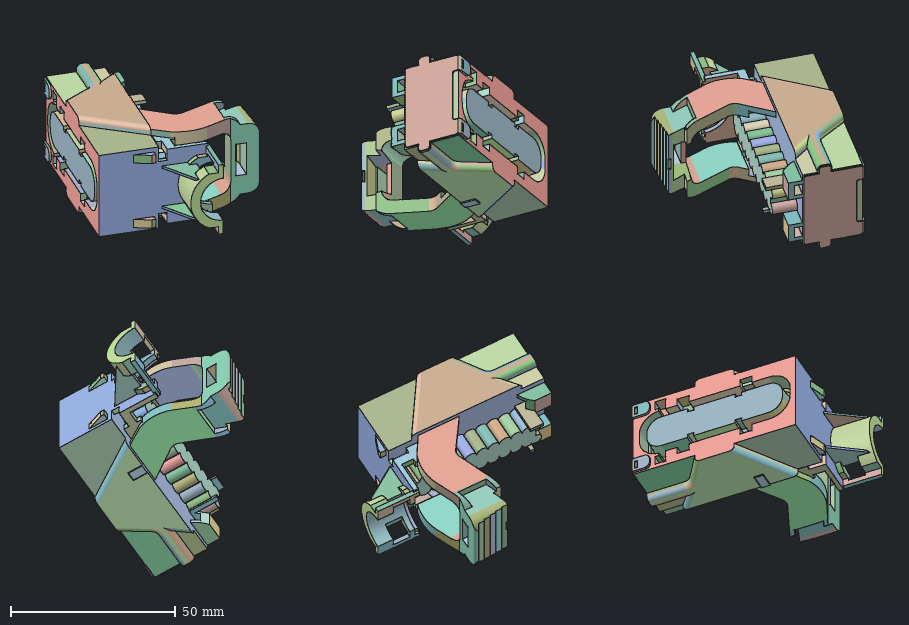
import cadquery as cq
import math


COVER_T = 0.4
HOUSING_X0, HOUSING_X1 = COVER_T, 55.0
HOUSING_Y0, HOUSING_Y1 = 0.75, 19.8
HOUSING_HALF_Z = 14.0
OVERLAP = 1.0

PANEL_HALF_Z = 16.57
PANEL_EDGE_R = 1.5
PANEL_BEND_R = 3.0
RIB_Y0, RIB_Y1 = 10.45, 15.0
PANEL_SLOPE, PANEL_BACK_SLOPE = 0.66, 0.79
PANEL_FRONT_X0, PANEL_FRONT_X1 = 21.15, 34.4
PANEL_BACK_X0 = 8.3
TRIM_MARGIN = 4.0
PAD_X0, PAD_X1, PAD_Y0, PAD_BOTTOM_Z = 34.6, 37.6, 14.7, -17.01

SOCKET_MID_X = 27.85
SOCKET_LENGTH, SOCKET_HEIGHT, SOCKET_R = 50.6, 17.0, 7.0
ISLAND_LENGTH, ISLAND_HEIGHT, ISLAND_R = 45.5, 11.6, 4.8
ISLAND_DRAFT, SOCKET_DRAFT = 3.5, 2.0
FLANK_DEPTH, BASE_BEVEL, BASE_BEVEL_ANGLE = 5.0, 1.15, 45.0
SOCKET_DEPTH = FLANK_DEPTH + BASE_BEVEL
KEY_POCKET_X = (15.25, 36.3)
KEY_POCKET_W, KEY_POCKET_TOP_Z, KEY_POCKET_DEPTH = 4.0, 10.95, 4.0
KEY_STEP_Z, KEY_STEP_DEPTH = 9.75, 2.0
NOTCH_X = (18.65, 34.75)
NOTCH_W, NOTCH_H = 2.1, 1.2
LATCH_X0, LATCH_X1, LATCH_TOP_Z = 7.8, 11.35, 12.6
LATCH_LEDGE_X, LATCH_LEDGE_Z = 9.05, 9.5

COVER_HALF_Z, COVER_Y1, COVER_RIB_HALF_Z = 13.6, 19.4, 16.1
COVER_NOTCH_Y, COVER_CORNER_R = 2.75, 0.8
TAB_LENGTH, TAB_Z0, TAB_Z1, TAB_R = 6.25, 8.35, 13.4, 1.8
TAB_WRAP_Y, TAB_BEND_R = 1.3, 1.05
TAB_SLOT_X0, TAB_SLOT_X1, TAB_SLOT_Z0, TAB_SLOT_Z1 = 1.2, 2.15, 9.6, 12.2

LUG_X1, LUG_ROOT_X, LUG_Y1, LUG_Z0, LUG_Z1 = 6.3, 10.0, 24.3, 5.0, 11.8
LUG_WINDOW_Y1, LUG_WINDOW_Z0, LUG_WINDOW_Z1 = 22.3, 6.4, 10.35
LUG_BACK_ARC = (7.7, 23.1)
FIN_X0, FIN_X1, FIN_Y1, FIN_Z0, FIN_Z1 = 6.3, 10.9, 29.65, 5.2, 6.4
LOWER_FIN_X0 = 9.4
CORE_X0, CORE_X1, CORE_Y1 = 5.9, 49.5, 27.75
WIRE_PITCH, WIRE_COUNT, WIRE_R = 3.98, 10, 2.0
WIRE_UPPER_Z, WIRE_LOWER_Z = 2.8, -3.5
WIRE_FIRST_X = 10.7

LEG_HALF_Z, LEG_INNER_Z = 14.93, 10.35
LEVER_CORNER_R, LEVER_CORNER_Y = 6.4, 43.6
LOOP_INNER_Y, LOOP_INNER_R = 46.0, 3.5
LEG_BASE_Y = 18.0
LEG_LEFT_BASE_X, LEG_RIGHT_BASE_X = 29.0, 43.5
ELBOW_IN_START, ELBOW_IN_MID, ELBOW_IN_END = (37.1, 29.8), (37.55, 31.2), (37.5, 32.4)
ELBOW_OUT_START, ELBOW_OUT_MID, ELBOW_OUT_END = (48.4, 37.4), (49.5, 31.8), (48.3, 25.6)
TOOTH_X, NECK_X, SHOULDER_Y = 31.25, 34.0, 45.8
CHANNEL_Y0, CHANNEL_Y1 = 43.9, 49.4
CHANNEL_X0, CHANNEL_X1, CHANNEL_W0, CHANNEL_W1 = 34.4, 32.2, 9.8, 9.7
LEG_RECESS_Y, LEG_RECESS_Z = 26.9, 12.8
TOOTH_Y = 47.6
HEAD_X1, HEAD_HALF_Z, HEAD_Y1, HEAD_R = 44.8, 11.98, 55.41, 4.0
HEAD_STEP_X0, HEAD_STEP_W, HEAD_STEP_COUNT = 32.1, 2.2, 5
HEAD_STEP_Y, HEAD_STEP_RISE = 53.25, 0.3
HEAD_BEAD_R = 0.87
HEAD_LIFT, HEAD_HEEL = 0.5, (32.3, 52.2)
HEAD_NOTCH_HALF_Z, HEAD_NOTCH_Y, HEAD_NOTCH_DEPTH = 1.9, 52.3, 0.5
WINDOW_Y1, WINDOW_HALF_Z = 51.0, 5.4
WINDOW_RELIEF_Y1, WINDOW_RELIEF_HALF_Z, WINDOW_RELIEF_X0, WINDOW_RELIEF_X1 = 51.45, 7.4, 31.0, 38.0

WALL_X0, SADDLE_X1 = 53.4, 67.99
SADDLE_AXIS_Y, SADDLE_R, SADDLE_BORE_R, WALL_BORE_R = 36.35, 10.35, 7.2, 8.7
SADDLE_FLAT_Z = 9.3
WALL_HALF_Z, WALL_Y0, WALL_Y1 = 12.8, 22.5, 35.55
WALL_FOOT_HALF_Z = 9.0
RAIL_T, RAIL_Z0, RAIL_Z1 = 1.5, 10.1, 11.9
STRAP_X0, STRAP_X1, STRAP_FLOOR_Y = 56.8, 62.55, 31.45
GUSSET_Z0, GUSSET_Z1, GUSSET_Y0, GUSSET_TIP = 6.5, 7.3, 20.9, (67.0, 29.1)
BRACKET_Y0, BRACKET_Y1, BRACKET_HALF_Z = 22.5, 25.35, 12.8
BRACKET_HEEL_X0, BRACKET_HEEL_X1 = 45.5, 43.5
BRACKET_END_X, BRACKET_END_Y0, BRACKET_END_Y1 = 49.4, 20.7, 26.8
HOOK_LENGTH, HOOK_Y0, HOOK_Y1, HOOK_Z0, HOOK_Z1, HOOK_TIP = 1.9, 11.7, 18.3, 9.7, 12.5, 1.3


def block(x0, x1, y0, y1, z0, z1):
    """Box between opposite corners."""
    return cq.Workplane("XY").box(x1 - x0, y1 - y0, z1 - z0, centered=False).translate((x0, y0, z0))


def prism(points, z0, z1):
    """XY polygon extruded between two heights."""
    return cq.Workplane("XY").workplane(offset=z0).polyline(points).close().extrude(z1 - z0)


def mirrored(shape):
    """The shape together with its mirror image about Z = 0."""
    return shape.union(shape.mirror("XY"))


def racetrack(length, height, radius, y, depth, draft):
    """Rounded rectangle block running in +Y from the given Y, widening by the draft angle."""
    outline = cq.Sketch().rect(length, height).vertices().fillet(radius)
    plane = cq.Workplane("XZ", origin=(SOCKET_MID_X, y, 0))
    return plane.placeSketch(outline).extrude(-depth, taper=-draft)


def raised_panel():
    """Trapezoid panel with a rib to the end cover and rounded upper edges."""
    def slope_x(x_at_front, y, direction):
        return x_at_front + direction * PANEL_SLOPE * (y - HOUSING_Y0)

    front_y = HOUSING_Y0 - TRIM_MARGIN
    back_y = HOUSING_Y1 + TRIM_MARGIN
    left_x = HOUSING_X0 - TRIM_MARGIN
    bend_x = slope_x(PANEL_FRONT_X0, RIB_Y0, -1)
    inner_x = PANEL_BACK_X0 + (HOUSING_Y1 - RIB_Y1) * PANEL_BACK_SLOPE
    points = [
        (left_x, RIB_Y0),
        (bend_x, RIB_Y0),
        (slope_x(PANEL_FRONT_X0, front_y, -1), front_y),
        (slope_x(PANEL_FRONT_X1, front_y, 1), front_y),
        (slope_x(PANEL_FRONT_X1, back_y, 1), back_y),
        (PANEL_BACK_X0 - TRIM_MARGIN * PANEL_BACK_SLOPE, back_y),
        (inner_x, RIB_Y1),
        (left_x, RIB_Y1),
    ]
    floor_z = HOUSING_HALF_Z - PANEL_EDGE_R
    panel = prism(points, floor_z, PANEL_HALF_Z)
    bend = cq.selectors.NearestToPointSelector((bend_x, RIB_Y0, (floor_z + PANEL_HALF_Z) / 2))
    panel = panel.edges("|Z").edges(bend).fillet(PANEL_BEND_R)
    panel = panel.faces(">Z").edges().fillet(PANEL_EDGE_R)
    limits = block(HOUSING_X0, HOUSING_X1, HOUSING_Y0, HOUSING_Y1, floor_z, PANEL_HALF_Z)
    return panel.intersect(limits)


def socket_groove():
    """Ring-shaped groove around a drafted island that flares out at its base."""
    outer = racetrack(SOCKET_LENGTH, SOCKET_HEIGHT, SOCKET_R, HOUSING_Y0, SOCKET_DEPTH, -SOCKET_DRAFT)
    flank = racetrack(ISLAND_LENGTH, ISLAND_HEIGHT, ISLAND_R, HOUSING_Y0, FLANK_DEPTH, ISLAND_DRAFT)
    growth = FLANK_DEPTH * math.tan(math.radians(ISLAND_DRAFT))
    base = racetrack(
        ISLAND_LENGTH + 2 * growth, ISLAND_HEIGHT + 2 * growth, ISLAND_R + growth,
        HOUSING_Y0 + FLANK_DEPTH, BASE_BEVEL, BASE_BEVEL_ANGLE,
    )
    return outer.cut(flank).cut(base)


def face_pockets():
    """Pockets beside the groove and small notches in the island, upper half."""
    y = HOUSING_Y0
    edge_z = ISLAND_HEIGHT / 2 + BASE_BEVEL + OVERLAP
    pockets = block(LATCH_X0, LATCH_X1, y, y + KEY_POCKET_DEPTH, LATCH_LEDGE_Z, LATCH_TOP_Z)
    pockets = pockets.union(
        block(LATCH_LEDGE_X, LATCH_X1, y, y + KEY_POCKET_DEPTH, edge_z, LATCH_LEDGE_Z)
    )
    for x in KEY_POCKET_X:
        pockets = pockets.union(
            block(x, x + KEY_POCKET_W, y, y + KEY_POCKET_DEPTH, edge_z, KEY_POCKET_TOP_Z)
        )
    step_x = KEY_POCKET_X[1]
    pockets = pockets.cut(
        block(step_x, step_x + KEY_POCKET_W, y + KEY_STEP_DEPTH, y + KEY_POCKET_DEPTH,
              KEY_STEP_Z, KEY_POCKET_TOP_Z)
    )
    island_z = ISLAND_HEIGHT / 2
    for x in NOTCH_X:
        pockets = pockets.union(
            block(x, x + NOTCH_W, y, y + FLANK_DEPTH, island_z - NOTCH_H, island_z + NOTCH_H)
        )
    return pockets


def housing():
    """Housing block with panels, marker pad and mating-face details."""
    body = block(HOUSING_X0, HOUSING_X1, HOUSING_Y0, HOUSING_Y1, -HOUSING_HALF_Z, HOUSING_HALF_Z)
    body = body.union(mirrored(raised_panel()))
    body = body.union(block(PAD_X0, PAD_X1, PAD_Y0, HOUSING_Y1, PAD_BOTTOM_Z, -HOUSING_HALF_Z))
    return body.cut(socket_groove()).cut(mirrored(face_pockets()))


def cover_tab():
    """Round-ended tab folded over the mating face, upper one."""
    tab = block(0, TAB_LENGTH, 0, HOUSING_Y0, TAB_Z0, TAB_Z1)
    tab = tab.edges(">X and |Y").fillet(TAB_R)
    tab = tab.union(block(0, TAB_BEND_R, 0, TAB_WRAP_Y, TAB_Z0, TAB_Z1))
    tab = tab.edges("<X and <Y").fillet(TAB_BEND_R)
    return tab.cut(block(TAB_SLOT_X0, TAB_SLOT_X1, 0, HOUSING_Y0 / 2, TAB_SLOT_Z0, TAB_SLOT_Z1))


def end_cover():
    """Thin plate over the end of the housing with its tabs."""
    plate = block(0, COVER_T, HOUSING_Y0, COVER_Y1, -COVER_HALF_Z, COVER_HALF_Z)
    ear = block(0, COVER_T, RIB_Y0 + COVER_T, RIB_Y1 - COVER_T, -COVER_RIB_HALF_Z, COVER_RIB_HALF_Z)
    plate = plate.edges("|X").fillet(COVER_CORNER_R)
    plate = plate.union(ear.edges("|X").fillet(COVER_CORNER_R))
    notch = block(0, COVER_T, 0, COVER_NOTCH_Y, -TAB_Z0, TAB_Z0)
    plate = plate.cut(notch.edges(">Y and |X").fillet(COVER_CORNER_R))
    return plate.union(mirrored(cover_tab()))


def lugs():
    """Pair of windowed lugs with fins behind the housing."""
    lug = (
        cq.Workplane("XY").workplane(offset=LUG_Z0)
        .moveTo(HOUSING_X0, HOUSING_Y1 - OVERLAP)
        .lineTo(HOUSING_X0, LUG_Y1)
        .lineTo(LUG_X1, LUG_Y1)
        .threePointArc(LUG_BACK_ARC, (LUG_ROOT_X, HOUSING_Y1))
        .lineTo(LUG_ROOT_X, HOUSING_Y1 - OVERLAP)
        .close().extrude(LUG_Z1 - LUG_Z0)
    )
    lug = lug.cut(block(0, LUG_ROOT_X, HOUSING_Y1, LUG_WINDOW_Y1, LUG_WINDOW_Z0, LUG_WINDOW_Z1))
    upper_fin = block(FIN_X0, FIN_X1, HOUSING_Y1, FIN_Y1, FIN_Z0, FIN_Z1)
    lower_fin = block(LOWER_FIN_X0, FIN_X1, HOUSING_Y1, FIN_Y1, -FIN_Z1, -FIN_Z0)
    return mirrored(lug).union(upper_fin).union(lower_fin)


def wire_core():
    """Block of wire chambers with a row of round chamber walls on either side."""
    base_y = HOUSING_Y1 - OVERLAP
    core = block(CORE_X0 + WIRE_R, CORE_X1, base_y, CORE_Y1, WIRE_LOWER_Z, WIRE_UPPER_Z)
    centres_x = [CORE_X0 + WIRE_R]
    for i in range(WIRE_COUNT):
        centres_x.append(WIRE_FIRST_X + i * WIRE_PITCH)
    for z in (WIRE_UPPER_Z, WIRE_LOWER_Z):
        for x in centres_x:
            wall = cq.Workplane("XZ", origin=(x, base_y, z)).circle(WIRE_R).extrude(base_y - CORE_Y1)
            core = core.union(wall)
    return core


def lever_loop():
    """Bent loop: two legs joined by a crossbar below the thumb grip."""
    profile = (
        cq.Workplane("XY").workplane(offset=-LEG_HALF_Z)
        .moveTo(LEG_LEFT_BASE_X, LEG_BASE_Y)
        .lineTo(*ELBOW_IN_START)
        .threePointArc(ELBOW_IN_MID, ELBOW_IN_END)
        .lineTo(TOOTH_X, TOOTH_Y)
        .lineTo(NECK_X, TOOTH_Y)
        .lineTo(NECK_X, CHANNEL_Y1)
        .lineTo(HEAD_X1, CHANNEL_Y1)
        .lineTo(HEAD_X1, SHOULDER_Y)
        .lineTo(*ELBOW_OUT_START)
        .threePointArc(ELBOW_OUT_MID, ELBOW_OUT_END)
        .lineTo(LEG_RIGHT_BASE_X, LEG_BASE_Y)
        .close().extrude(2 * LEG_HALF_Z)
    )
    end_y = LEVER_CORNER_Y + LEVER_CORNER_R
    rounded = block(0, SADDLE_X1, LEG_BASE_Y, end_y, -LEG_HALF_Z, LEG_HALF_Z)
    rounded = rounded.edges(">Y and |X").fillet(LEVER_CORNER_R)
    opening = block(0, SADDLE_X1, 0, LOOP_INNER_Y, -LEG_INNER_Z, LEG_INNER_Z)
    opening = opening.edges(">Y and |X").fillet(LOOP_INNER_R)
    channel = prism(
        [
            (CHANNEL_X0, CHANNEL_Y0), (CHANNEL_X0 + CHANNEL_W0, CHANNEL_Y0),
            (CHANNEL_X1 + CHANNEL_W1, CHANNEL_Y1), (CHANNEL_X1, CHANNEL_Y1),
        ],
        HEAD_HALF_Z, LEG_HALF_Z,
    )
    recess = block(0, SADDLE_X1, HOUSING_Y1, LEG_RECESS_Y, -LEG_RECESS_Z, LEG_RECESS_Z)
    return profile.intersect(rounded).cut(opening).cut(recess).cut(mirrored(channel))


def lever_head():
    """Thumb grip with a stepped, rounded end and a central notch."""
    root_y = LOOP_INNER_Y + HEAD_LIFT
    points = [(HEAD_X1, root_y), (NECK_X, root_y), (NECK_X, TOOTH_Y), HEAD_HEEL]
    for i in range(HEAD_STEP_COUNT):
        step_y = HEAD_STEP_Y + i * HEAD_STEP_RISE
        points.append((HEAD_STEP_X0 + i * HEAD_STEP_W, step_y))
        points.append((HEAD_STEP_X0 + (i + 1) * HEAD_STEP_W, step_y))
    bead_y = HEAD_Y1 - HEAD_BEAD_R
    points.append((HEAD_X1 - 2 * HEAD_BEAD_R, bead_y))
    head = (
        cq.Workplane("XY").workplane(offset=-HEAD_HALF_Z)
        .polyline(points)
        .threePointArc((HEAD_X1 - HEAD_BEAD_R, HEAD_Y1), (HEAD_X1, bead_y))
        .close().extrude(2 * HEAD_HALF_Z)
    )
    rounded = block(0, SADDLE_X1, root_y, HEAD_Y1, -HEAD_HALF_Z, HEAD_HALF_Z)
    head = head.intersect(rounded.edges(">Y and |X").fillet(HEAD_R))
    notch = block(HEAD_STEP_X0, HEAD_STEP_X0 + HEAD_NOTCH_DEPTH, HEAD_NOTCH_Y, HEAD_Y1,
                  -HEAD_NOTCH_HALF_Z, HEAD_NOTCH_HALF_Z)
    return head.cut(notch)


def lever():
    """Complete lever with the window through its grip."""
    window = block(0, SADDLE_X1, TOOTH_Y, WINDOW_Y1, -WINDOW_HALF_Z, WINDOW_HALF_Z)
    relief = (
        cq.Workplane("XZ", origin=(0, LOOP_INNER_Y, 0))
        .moveTo(WINDOW_RELIEF_X0, -WINDOW_RELIEF_HALF_Z)
        .lineTo(WINDOW_RELIEF_X1, -WINDOW_HALF_Z)
        .lineTo(WINDOW_RELIEF_X1, WINDOW_HALF_Z)
        .lineTo(WINDOW_RELIEF_X0, WINDOW_RELIEF_HALF_Z)
        .close().extrude(LOOP_INNER_Y - WINDOW_RELIEF_Y1)
    )
    return lever_loop().union(lever_head()).cut(window).cut(relief)


def half_cylinder(radius, x0, x1):
    """Solid half cylinder along X on the housing side of the saddle axis."""
    cylinder = cq.Workplane("YZ", origin=(x0, SADDLE_AXIS_Y, 0)).circle(radius).extrude(x1 - x0)
    return cylinder.intersect(block(x0, x1, 0, SADDLE_AXIS_Y, -radius, radius))


def cable_saddle():
    """Half-round cable saddle on an upright wall, with strap slots and gussets."""
    wall_x1 = HOUSING_X1
    wall = block(WALL_X0, wall_x1, WALL_Y0, WALL_Y1, -WALL_HALF_Z, WALL_HALF_Z)
    foot = block(WALL_X0, wall_x1, HOUSING_Y1 - OVERLAP, WALL_Y0, -WALL_FOOT_HALF_Z, WALL_FOOT_HALF_Z)
    wall = wall.union(foot)
    trough = half_cylinder(SADDLE_R, wall_x1, SADDLE_X1)
    slot = block(STRAP_X0, STRAP_X1, 0, SADDLE_AXIS_Y, GUSSET_Z1, SADDLE_R)
    gap = block(STRAP_X0, STRAP_X1, STRAP_FLOOR_Y, SADDLE_AXIS_Y, -SADDLE_R, SADDLE_R)
    flat = block(wall_x1, SADDLE_X1, 0, SADDLE_AXIS_Y - RAIL_T, SADDLE_FLAT_Z, SADDLE_R)
    trough = trough.cut(mirrored(slot)).cut(gap).cut(mirrored(flat))
    gusset = prism(
        [(wall_x1, GUSSET_Y0), GUSSET_TIP, (STRAP_X1, STRAP_FLOOR_Y), (wall_x1, STRAP_FLOOR_Y)],
        GUSSET_Z0, GUSSET_Z1,
    )
    rail = block(WALL_X0, SADDLE_X1, SADDLE_AXIS_Y - RAIL_T, SADDLE_AXIS_Y, RAIL_Z0, RAIL_Z1)
    bracket = prism(
        [
            (BRACKET_HEEL_X0, BRACKET_END_Y0), (BRACKET_END_X, BRACKET_END_Y0), (BRACKET_END_X, BRACKET_Y0),
            (WALL_X0, BRACKET_Y0), (WALL_X0, BRACKET_Y1), (BRACKET_END_X, BRACKET_Y1),
            (BRACKET_END_X, BRACKET_END_Y1), (BRACKET_HEEL_X1, BRACKET_END_Y1),
        ],
        LEG_INNER_Z, BRACKET_HALF_Z,
    )
    saddle = wall.union(trough).union(mirrored(gusset.union(rail).union(bracket)))
    saddle = saddle.cut(half_cylinder(SADDLE_BORE_R, WALL_X0, SADDLE_X1))
    return saddle.cut(half_cylinder(WALL_BORE_R, WALL_X0, wall_x1))


def snap_hooks():
    """Wedge hooks on the saddle end of the housing."""
    x0 = HOUSING_X1
    x1 = x0 + HOOK_LENGTH
    hook = prism([(x0, HOOK_Y0), (x1, HOOK_Y1 - HOOK_TIP), (x1, HOOK_Y1), (x0, HOOK_Y1)], HOOK_Z0, HOOK_Z1)
    return mirrored(hook)


result = housing()
for piece in (end_cover(), lugs(), wire_core(), lever(), cable_saddle(), snap_hooks()):
    result = result.union(piece)